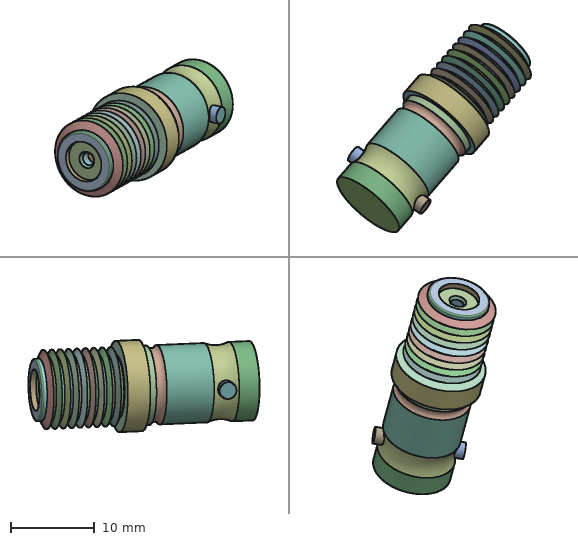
import cadquery as cq

length = 26.5
body_radius = 4.77

tip_radius = 3.75
tip_length = 0.64
tip_fillet = 0.2
thread_pitch = 1.03
thread_count = 9
first_crest = 1.22
root_radius = 3.95

flange_radius = 5.49
flange_start = 10.15
flange_end = 12.9

small_groove = (14.47, 0.64, 0.35)
pin_groove = (22.45, 1.55, 0.32)

pin_radius = 1.03
pin_span = 11.05

recess_radius = 2.5
recess_depth = 0.72
socket_radius = 1.03
socket_floor_radius = 0.8
socket_depth = 1.6
socket_taper = 0.4


def groove(profile, centre, half_width, depth):
    """Continue the body outline through a groove with a circular-arc section."""
    return profile.lineTo(body_radius, centre - half_width).threePointArc(
        (body_radius - depth, centre), (body_radius, centre + half_width)
    )


def turned_body():
    profile = cq.Workplane("XY").lineTo(tip_radius, 0).lineTo(tip_radius, tip_length)
    for i in range(thread_count):
        crest = first_crest + i * thread_pitch
        profile = profile.lineTo(body_radius, crest)
        if i < thread_count - 1:
            profile = profile.lineTo(root_radius, crest + thread_pitch / 2)
    last_crest = first_crest + (thread_count - 1) * thread_pitch
    profile = profile.lineTo(tip_radius, last_crest + first_crest - tip_length)
    profile = profile.lineTo(tip_radius, flange_start)
    profile = profile.lineTo(flange_radius, flange_start).lineTo(flange_radius, flange_end)
    profile = profile.lineTo(body_radius, flange_end)
    profile = groove(profile, *small_groove)
    profile = groove(profile, *pin_groove)
    profile = profile.lineTo(body_radius, length).lineTo(0, length).close()
    body = profile.revolve(360, (0, 0, 0), (0, 1, 0))
    return body.faces("<Y").edges().fillet(tip_fillet)


def bayonet_pins():
    pin_centre = pin_groove[0]
    return (
        cq.Workplane("YZ", origin=(-pin_span / 2, 0, 0))
        .center(pin_centre, 0)
        .circle(pin_radius)
        .extrude(pin_span)
    )


def end_cavity():
    """Round recess with a blind socket whose mouth is countersunk."""
    return (
        cq.Workplane("XY")
        .lineTo(recess_radius, 0)
        .lineTo(recess_radius, recess_depth)
        .lineTo(socket_radius, recess_depth)
        .lineTo(socket_floor_radius, recess_depth + socket_taper)
        .lineTo(socket_floor_radius, recess_depth + socket_depth)
        .lineTo(0, recess_depth + socket_depth)
        .close()
        .revolve(360, (0, 0, 0), (0, 1, 0))
    )


result = turned_body().union(bayonet_pins()).cut(end_cavity())